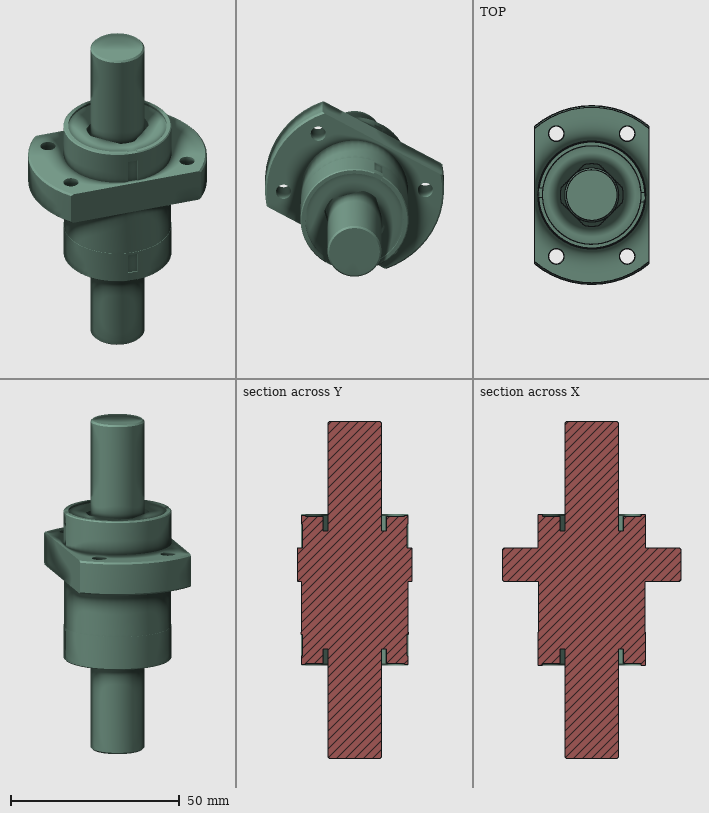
import cadquery as cq
import math

shaft_length = 100.0
shaft_diameter = 16.0
shaft_chamfer = 0.5

nut_length = 45.0
cap_diameter = 32.0
body_diameter = 31.8
cap_length = 10.0
cap_chamfer = 0.3
nut_end = nut_length / 2
cap_start = nut_end - cap_length

dish_diameter = 29.2
dish_depth = 0.7
opening_width = 15.9
opening_corner_diameter = 18.6
opening_depth = 5.0

flange_diameter = 53.0
flange_width = 34.0
flange_thickness = 10.0
flange_chamfer = 0.5
flange_bottom = cap_start - flange_thickness
hole_diameter = 4.5
bolt_circle_radius = 21.0
hole_angle = 60.0

slot_width = 2.9
slot_offset = 0.65
slot_depth = 0.4
top_slot_length = cap_length
bottom_slot_length = 9.2

tab_length = 3.0
tab_diameter = body_diameter
tab_recess = cap_chamfer


def cylinder(diameter, bottom, height):
    return cq.Workplane("XY").workplane(offset=bottom).circle(diameter / 2).extrude(height)


def make_flange():
    disc = cylinder(flange_diameter, flange_bottom, flange_thickness).edges().chamfer(flange_chamfer)
    sides = cq.Workplane("XY").box(flange_width, flange_diameter, nut_length)
    hole_x = bolt_circle_radius * math.cos(math.radians(hole_angle))
    hole_y = bolt_circle_radius * math.sin(math.radians(hole_angle))
    holes = (
        cq.Workplane("XY")
        .workplane(offset=flange_bottom)
        .rect(2 * hole_x, 2 * hole_y, forConstruction=True)
        .vertices()
        .circle(hole_diameter / 2)
        .extrude(flange_thickness)
    )
    return disc.intersect(sides).cut(holes)


def make_slot_pair(length, floor_radius):
    """Two opposite slots with round floors, running down from the upper nut end."""
    slot = cq.Workplane("XY").box(cap_diameter, slot_width, length, centered=(False, True, False))
    slot = slot.translate((-cap_diameter, slot_offset, nut_end - length))
    opposite_slot = slot.rotate((0, 0, 0), (0, 0, 1), 180)
    core = cylinder(2 * floor_radius, nut_end - length, length)
    return slot.cut(core).union(opposite_slot.cut(core))


def make_cap(slot_length):
    """Cap at the upper nut end, with its slots, tabs, dish and wiper opening."""
    cap = cylinder(cap_diameter, cap_start, cap_length).faces(">Z").edges().chamfer(cap_chamfer)
    dish_radius = dish_diameter / 2
    cap = cap.cut(make_slot_pair(slot_length, cap_diameter / 2 - slot_depth))
    tabs = make_slot_pair(tab_length, dish_radius).intersect(
        cylinder(tab_diameter, nut_end - tab_length, tab_length - tab_recess)
    )
    cap = cap.cut(make_slot_pair(tab_recess, dish_radius)).union(tabs)
    cap = cap.cut(cylinder(dish_diameter, nut_end - dish_depth, dish_depth))
    opening = (
        cq.Workplane("XY")
        .workplane(offset=nut_end - opening_depth)
        .transformed(rotate=(0, 0, 45))
        .rect(opening_width, opening_width)
        .extrude(opening_depth)
        .intersect(cylinder(opening_corner_diameter, nut_end - opening_depth, opening_depth))
    )
    return cap.cut(opening)


shaft = cylinder(shaft_diameter, -shaft_length / 2, shaft_length).edges().chamfer(shaft_chamfer)
body = cylinder(body_diameter, -cap_start, 2 * cap_start)
top_cap = make_cap(top_slot_length)
bottom_cap = make_cap(bottom_slot_length).mirror("XY")

result = body.union(make_flange()).union(top_cap).union(bottom_cap).union(shaft)